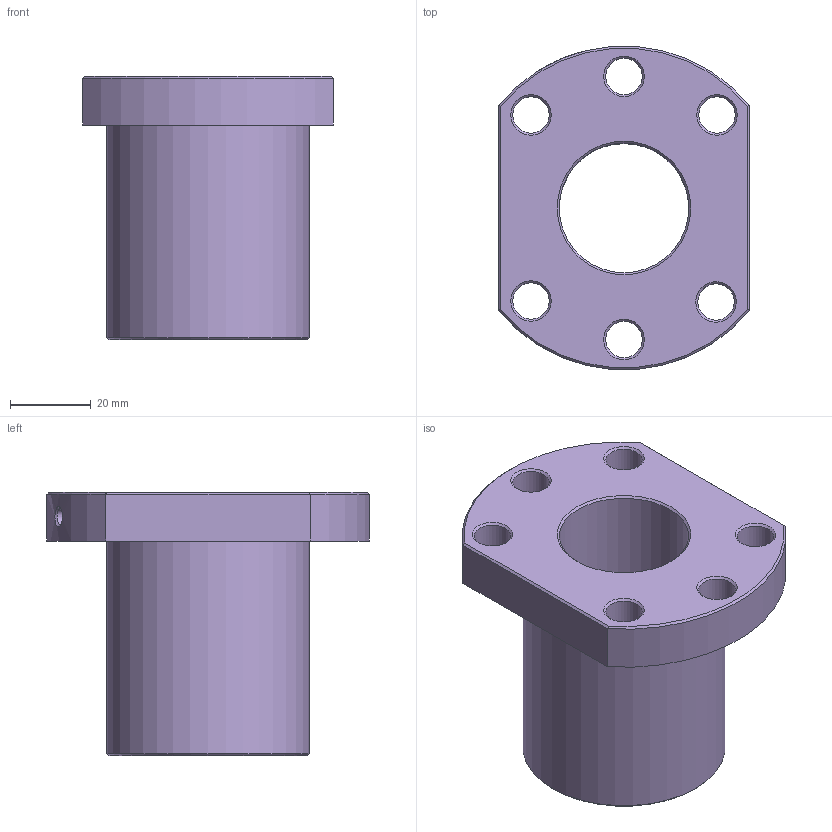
import cadquery as cq


total_length = 65.0
flange_diameter = 80.0
flange_width = 62.0
flange_thickness = 12.0
barrel_diameter = 50.0
bore_diameter = 32.0
edge_chamfer = 0.5

mounting_hole_diameter = 9.0
bolt_circle_diameter = 65.0
mounting_hole_pitch = 45.0
last_hole_offset = -0.6
mounting_hole_angles = [step * mounting_hole_pitch for step in (1, 2, 3, 5, 6)]
mounting_hole_angles.append(7 * mounting_hole_pitch + last_hole_offset)

oil_hole_diameter = 4.0
oil_hole_depth = 12.0
oil_hole_angle = 2.5 * mounting_hole_pitch

flange_bottom = total_length - flange_thickness
flange_middle = flange_bottom + flange_thickness / 2


def make_barrel():
    """Cylinder with a chamfered free end, reaching up to the flange."""
    barrel = cq.Workplane("XY").circle(barrel_diameter / 2).extrude(flange_bottom)
    return barrel.faces("<Z").edges().chamfer(edge_chamfer)


def make_flange():
    """Disc cut to two parallel flats, with its top rim chamfered."""
    base = cq.Workplane("XY").workplane(offset=flange_bottom)
    disc = base.circle(flange_diameter / 2).extrude(flange_thickness)
    slab = base.rect(flange_width, flange_diameter).extrude(flange_thickness)
    return disc.intersect(slab).faces(">Z").edges().chamfer(edge_chamfer)


def chamfered_hole(diameter, depth):
    """Cutter for a hole going down from Z = 0, with a chamfered mouth."""
    radius = diameter / 2
    profile = [
        (0, 0),
        (radius + edge_chamfer, 0),
        (radius, -edge_chamfer),
        (radius, -depth),
        (0, -depth),
    ]
    return cq.Workplane("XZ").polyline(profile).close().revolve(360, (0, 0, 0), (0, 1, 0))


def make_mounting_holes():
    """Cutters for all mounting holes, through the flange."""
    cutter = chamfered_hole(mounting_hole_diameter, flange_thickness)
    cutter = cutter.translate((bolt_circle_diameter / 2, 0, total_length))
    holes = cq.Workplane("XY")
    for angle in mounting_hole_angles:
        holes = holes.add(cutter.rotate((0, 0, 0), (0, 0, 1), angle))
    return holes.combine()


def make_oil_hole():
    """Cutter for the blind hole from the flange rim towards the bore."""
    cutter = chamfered_hole(oil_hole_diameter, oil_hole_depth)
    cutter = cutter.rotate((0, 0, 0), (0, 1, 0), 90)
    cutter = cutter.translate((flange_diameter / 2, 0, flange_middle))
    return cutter.rotate((0, 0, 0), (0, 0, 1), oil_hole_angle)


bore = chamfered_hole(bore_diameter, total_length).translate((0, 0, total_length))

result = make_barrel().union(make_flange())
result = result.cut(bore)
result = result.cut(make_mounting_holes())
result = result.cut(make_oil_hole())